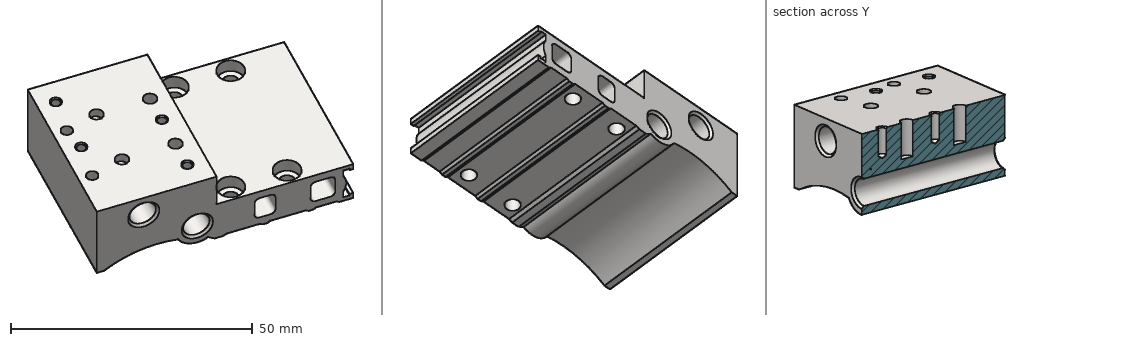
import cadquery as cq
import math

width = 38.0
length = 57.4
height = 18.3
shelf_height = 10.1
tall_length = 26.8

bore_diameter = 5.92
bore_chamfer = 0.55
lower_bore_y, lower_bore_z = 22.5, 5.25
upper_bore_y, upper_bore_z = 10.5, 13.3
lower_bore_wall_radius = 4.9

front_foot_length = 1.6
arch_peak_y, arch_peak_z = 13.9, 3.38
arch_end_y = 18.2

relief = 0.4
rib_half_width = 1.2
rib_tip_half_width = 0.5
rib_centers_y = (47.9, 37.65)
back_pad_start = 54.3
back_pad_slope = 0.7
front_pad_back = 28.2
front_pad_front = 26.35
front_pad_slope = 0.9
notch_y = 24.9

slot_mid_z = shelf_height / 2
slot_mouth = 7.1
slot_inner = 7.9
slot_lip = 0.85
slot_depth = 2.25
slot_bulge = 0.65
slot_bulge_chord = 4.5

windows = ((50.6, 5.5), (37.65, 4.7))
window_mid_z = 5.25
window_height = 5.75
window_radius = 1.2

mount_x = (3.5, 34.5)
mount_y = (31.4, 44.0)
mount_diameter = 3.4
mount_counterbore = 6.0
mount_counterbore_depth = 3.2

station_pitch = 14.0
station_offsets = (0.0, station_pitch)
port_diameter = 3.0
port_x = 12.0
outlet_diameter = 2.6
outlet_x, outlet_y = 14.0, 3.05
blind_port_depth = 8.0
screw_positions = ((18.5, 22.5), (5.5, 4.05))
screw_diameter = 2.01
screw_mouth_diameter = 2.6
screw_depth = 6.0
drill_point_angle = 118.0


def wall_arc_z(y):
    """Height of the lower bore's rounded outer wall at a given Y."""
    return lower_bore_z - math.sqrt(lower_bore_wall_radius**2 - (y - lower_bore_y) ** 2)


def add_ribbed_underside(outline):
    """Continue the outline forward under the shelf to the notch beside the bore wall."""
    outline = outline.lineTo(back_pad_start, 0).lineTo(back_pad_start - back_pad_slope, relief)
    for center in rib_centers_y:
        outline = outline.lineTo(center + rib_half_width, relief)
        outline = outline.lineTo(center + rib_tip_half_width, 0)
        outline = outline.lineTo(center - rib_tip_half_width, 0)
        outline = outline.lineTo(center - rib_half_width, relief)
    return (
        outline.lineTo(front_pad_back + front_pad_slope, relief)
        .lineTo(front_pad_back, 0)
        .lineTo(front_pad_front, 0)
        .lineTo(notch_y, wall_arc_z(notch_y))
    )


def make_body():
    slot_floor_y = length - slot_depth
    lip_y = length - slot_lip
    half_mouth = slot_mouth / 2
    half_inner = slot_inner / 2
    half_chord = slot_bulge_chord / 2
    outline = (
        cq.Workplane("YZ")
        .moveTo(0, 0)
        .lineTo(0, height)
        .lineTo(tall_length, height)
        .lineTo(tall_length, shelf_height)
        .lineTo(length, shelf_height)
        .lineTo(length, slot_mid_z + half_mouth)
        .lineTo(lip_y, slot_mid_z + half_mouth)
        .lineTo(lip_y, slot_mid_z + half_inner)
        .lineTo(slot_floor_y, slot_mid_z + half_inner)
        .lineTo(slot_floor_y, slot_mid_z + half_chord)
        .threePointArc(
            (slot_floor_y + slot_bulge, slot_mid_z), (slot_floor_y, slot_mid_z - half_chord)
        )
        .lineTo(slot_floor_y, slot_mid_z - half_inner)
        .lineTo(lip_y, slot_mid_z - half_inner)
        .lineTo(lip_y, slot_mid_z - half_mouth)
        .lineTo(length, slot_mid_z - half_mouth)
        .lineTo(length, 0)
    )
    outline = add_ribbed_underside(outline)
    outline = outline.threePointArc(
        (lower_bore_y, wall_arc_z(lower_bore_y)), (arch_end_y, wall_arc_z(arch_end_y))
    )
    outline = outline.threePointArc((arch_peak_y, arch_peak_z), (front_foot_length, 0))
    return outline.close().extrude(width)


def make_bore(y, z):
    """Through bore along X, chamfered at both ends."""
    radius = bore_diameter / 2
    mouth_radius = radius + bore_chamfer
    return (
        cq.Workplane("XY")
        .moveTo(0, 0)
        .lineTo(0, mouth_radius)
        .lineTo(bore_chamfer, radius)
        .lineTo(width - bore_chamfer, radius)
        .lineTo(width, mouth_radius)
        .lineTo(width, 0)
        .close()
        .revolve(360, (0, 0), (1, 0))
        .translate((0, y, z))
    )


def make_window(y, window_width):
    return (
        cq.Workplane("YZ")
        .center(y, window_mid_z)
        .rect(window_width, window_height)
        .extrude(width)
        .edges("|X")
        .fillet(window_radius)
    )


def drop_cylinder(x, y, top, diameter, depth):
    """Vertical cylinder reaching down from the given top height."""
    return cq.Workplane("XY", origin=(x, y, top)).circle(diameter / 2).extrude(-depth)


def make_mount_hole(x, y):
    hole = drop_cylinder(x, y, shelf_height, mount_diameter, shelf_height)
    counterbore = drop_cylinder(x, y, shelf_height, mount_counterbore, mount_counterbore_depth)
    return hole.union(counterbore)


def make_screw_hole(x, y):
    """Blind hole with a chamfered mouth and a conical drill point."""
    radius = screw_diameter / 2
    mouth_radius = screw_mouth_diameter / 2
    chamfer = mouth_radius - radius
    point_length = radius / math.tan(math.radians(drill_point_angle / 2))
    return (
        cq.Workplane("XZ")
        .moveTo(0, 0)
        .lineTo(mouth_radius, 0)
        .lineTo(radius, -chamfer)
        .lineTo(radius, -screw_depth)
        .lineTo(0, -screw_depth - point_length)
        .close()
        .revolve(360, (0, 0), (0, 1))
        .translate((x, y, height))
    )


def cut_valve_station(body, offset):
    """Cut one station: two bore ports, one outlet and two screw holes."""
    x = port_x + offset
    body = body.cut(drop_cylinder(x, upper_bore_y, height, port_diameter, height - upper_bore_z))
    body = body.cut(drop_cylinder(x, lower_bore_y, height, port_diameter, blind_port_depth))
    outlet = drop_cylinder(outlet_x + offset, outlet_y, height, outlet_diameter, blind_port_depth)
    body = body.cut(outlet)
    for screw_x, screw_y in screw_positions:
        body = body.cut(make_screw_hole(screw_x + offset, screw_y))
    return body


result = make_body()
result = result.cut(make_bore(lower_bore_y, lower_bore_z))
result = result.cut(make_bore(upper_bore_y, upper_bore_z))
for window_y, window_width in windows:
    result = result.cut(make_window(window_y, window_width))
for hole_x in mount_x:
    for hole_y in mount_y:
        result = result.cut(make_mount_hole(hole_x, hole_y))
for station_offset in station_offsets:
    result = cut_valve_station(result, station_offset)